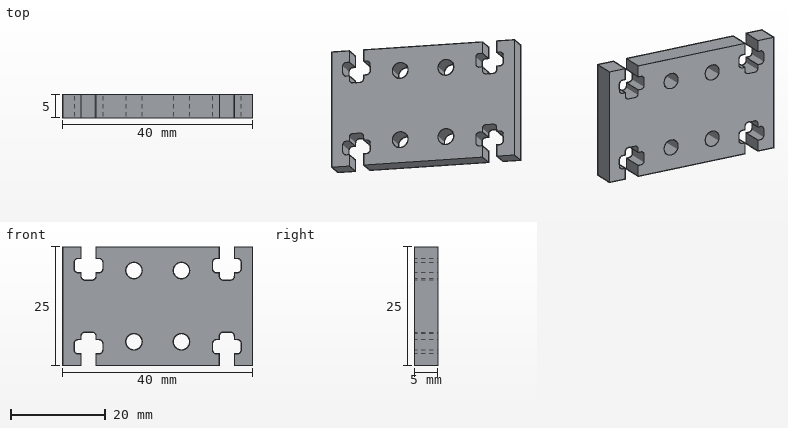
import cadquery as cq

length = 40.0
thickness = 5.0
height = 25.0

hole_diameter = 3.4
hole_spacing_x = length / 4
hole_spacing_z = 15.0

slot_inset = 5.45
screw_width = 3.1
screw_depth = 7.0
nut_width = 6.0
nut_height = 2.95
nut_inset = 2.5
corner_radius = 0.8

slot_x = length / 2 - slot_inset


def through_block(width, depth, inset):
    """Block through the thickness, its upper face `inset` below the top edge."""
    return cq.Workplane("XY").box(width, thickness, depth).translate((0, 0, height / 2 - inset - depth / 2))


def t_slot():
    """Slot opening at the top edge, centred on X = 0."""
    screw_channel = through_block(screw_width, screw_depth, 0).edges("|Y and <Z").fillet(corner_radius)
    nut_pocket = through_block(nut_width, nut_height, nut_inset).edges("|Y").fillet(corner_radius)
    return screw_channel.union(nut_pocket)


plate = cq.Workplane("XY").box(length, thickness, height)

holes = (
    cq.Workplane("XZ")
    .rarray(hole_spacing_x, hole_spacing_z, 2, 2)
    .circle(hole_diameter / 2)
    .extrude(thickness / 2, both=True)
)
result = plate.cut(holes)

for x in (-slot_x, slot_x):
    top_slot = t_slot().translate((x, 0, 0))
    bottom_slot = top_slot.mirror("XY")
    result = result.cut(top_slot).cut(bottom_slot)